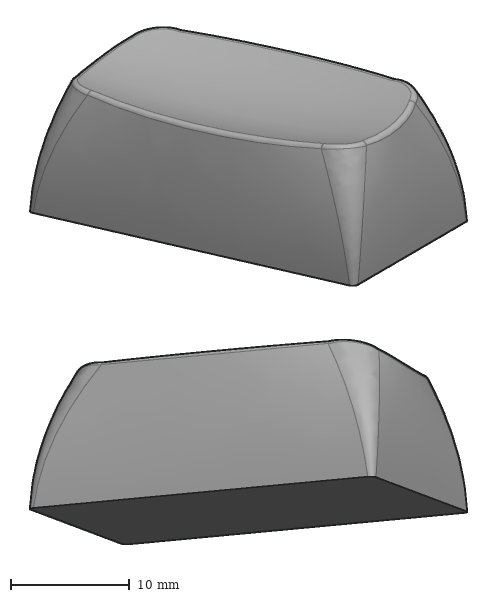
import cadquery as cq
import math

length = 32.5
width = 18.2

rim_height = 11.38
blank_height = 13.98
section_count = 7
wall_inset = 1.45
wall_power = 2.0
long_side_bow = 0.8
short_side_bow = 0.45
base_bow = 0.01
base_corner = 0.52
rim_corner = 4.97
corner_lean = 0.38
corner_fullness = 0.29

dish_radius = 22.42
dish_y = -2.92
dish_bottom = 10.2
dish_sag = 1.0
barrel_half_length = 14.62
dish_extension = 4.88

rim_fillet = 0.5


def section(height):
    """Rectangle with bowed sides and rounded corners at one height."""
    rise = height / rim_height
    inset = wall_inset * rise**wall_power
    long_bow = base_bow + long_side_bow * rise**2
    short_bow = base_bow + short_side_bow * rise**2
    growth = corner_lean * rise + (1 - corner_lean) * rise**2
    corner = base_corner + (rim_corner - base_corner) * growth

    side_x = length / 2 - inset
    side_y = width / 2 - inset
    long_end = (length / 2 - corner, side_y - long_bow)
    short_end = (side_x - short_bow, width / 2 - corner)
    corner_mid = (
        short_end[0] + corner_fullness * (long_end[0] - short_end[0]),
        long_end[1] + corner_fullness * (short_end[1] - long_end[1]),
    )

    def mirrored(point, x_sign, y_sign):
        return (x_sign * point[0], y_sign * point[1])

    outline = cq.Workplane("XY", origin=(0, 0, height)).moveTo(*mirrored(short_end, 1, -1))
    outline = outline.threePointArc((side_x, 0), short_end)
    outline = outline.threePointArc(corner_mid, long_end)
    outline = outline.threePointArc((0, side_y), mirrored(long_end, -1, 1))
    outline = outline.threePointArc(mirrored(corner_mid, -1, 1), mirrored(short_end, -1, 1))
    outline = outline.threePointArc((-side_x, 0), mirrored(short_end, -1, -1))
    outline = outline.threePointArc(mirrored(corner_mid, -1, -1), mirrored(long_end, -1, -1))
    outline = outline.threePointArc((0, -side_y), mirrored(long_end, 1, -1))
    outline = outline.threePointArc(mirrored(corner_mid, 1, -1), mirrored(short_end, 1, -1))
    return outline.close().wire().val()


def blank():
    """Curved body, taller than the finished part."""
    step = blank_height / (section_count - 1)
    sections = [section(i * step) for i in range(section_count)]
    return cq.Workplane(cq.Solid.makeLoft(sections))


def dish_cutter():
    """Barrel whose underside forms the dished top."""
    lengthwise_radius = (barrel_half_length**2 + dish_sag**2) / (2 * dish_sag)
    half = barrel_half_length + dish_extension
    end_rise = lengthwise_radius - math.sqrt(lengthwise_radius**2 - half**2)
    axis_height = dish_bottom + dish_radius
    return (
        cq.Workplane("XZ", origin=(0, dish_y, 0))
        .moveTo(-half, axis_height)
        .lineTo(-half, dish_bottom + end_rise)
        .threePointArc((0, dish_bottom), (half, dish_bottom + end_rise))
        .lineTo(half, axis_height)
        .close()
        .revolve(360, (-half, axis_height), (half, axis_height))
    )


body = blank().cut(dish_cutter())
dish_face = body.faces(cq.selectors.NearestToPointSelector((0, dish_y, dish_bottom)))
result = dish_face.edges().fillet(rim_fillet)